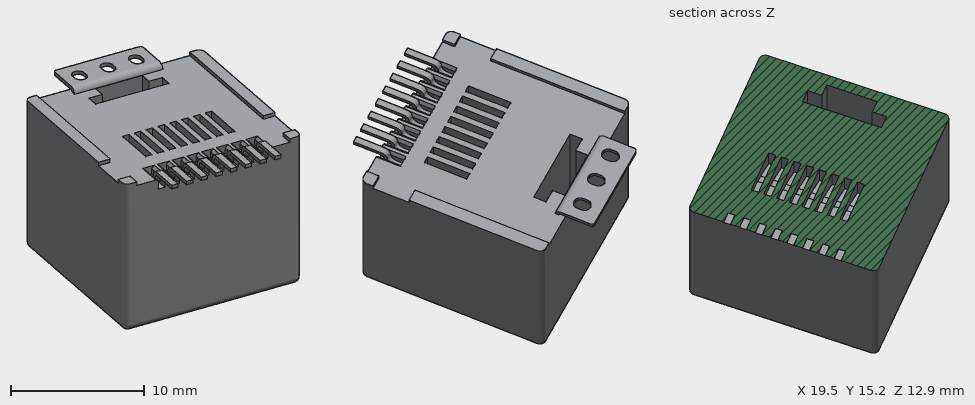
import cadquery as cq


BODY_X = 15.13
BODY_Y = 15.24
DECK_Z = 12.4
EDGE_RADIUS = 0.5
LEFT = -BODY_X / 2
RIGHT = BODY_X / 2

RAIL_RISE = 0.3
RAIL_WIDTH = 1.02
RAIL_LENGTH = 11.12
RAIL_TOP = DECK_Z + RAIL_RISE

METAL_TOP = 12.85
METAL_THICKNESS = 0.3

TAB_OVERHANG = 2.36
TAB_WIDTH = 7.62
TAB_BEND_RADIUS = 0.55
TAB_LEG_INSET = 0.85
TAB_CORNER = 0.25
TAB_HOLE_COUNT = 3
TAB_HOLE_PITCH = 2.45
TAB_HOLE_LENGTH = 1.36
TAB_HOLE_WIDTH = 1.0
TAB_HOLE_FROM_END = 1.57
LEG_EMBED = 0.3

STEM_CLEARANCE = 0.03
STEM_START = LEFT + TAB_LEG_INSET + STEM_CLEARANCE
STEM_WIDTH = 4.02
BAR_START = LEFT + 1.88
BAR_END = LEFT + 2.9
BAR_WIDTH = 6.32

CONTACT_COUNT = 8
SLOT_PITCH = 1.02
SLOT_WIDTH = 0.55
SLOT_START = LEFT + 8.14
SLOT_RAMP_END = LEFT + 9.79
SLOT_STEP = LEFT + 10.44
SLOT_END = LEFT + 11.65
SLOT_DEPTH = 1.6
SLOT_STEP_HEIGHT = 0.2
SLOT_RAMP_DROP = 0.65

PIN_PITCH = 1.27
PIN_WIDTH = 0.54
PIN_OVERHANG = 1.99
PIN_BEND_START = LEFT + 13.73
PIN_BEND_RADIUS = 0.57
GROOVE_START = LEFT + 13.12
GROOVE_CHAMFER = 0.23
PIN_FOOT_TOP = METAL_TOP - 2 * PIN_BEND_RADIUS
GROOVE_FLOOR = PIN_FOOT_TOP - METAL_THICKNESS / 2


def row(count, pitch):
    """Y positions of a row centred on Y = 0."""
    return [(i - (count - 1) / 2) * pitch for i in range(count)]


def box(x0, x1, y0, y1, z0, z1):
    """Block between two opposite corners."""
    return cq.Workplane("XY").box(x1 - x0, y1 - y0, z1 - z0, centered=False).translate((x0, y0, z0))


def extrude_along_y(profile, width, y_centre=0):
    """Extrude an XZ profile symmetrically about y_centre."""
    return profile.extrude(width / 2, both=True).translate((0, y_centre, 0))


def make_housing():
    """Rounded block cut down to the deck, leaving the rails and corner pads."""
    block = box(LEFT, RIGHT, -BODY_Y / 2, BODY_Y / 2, 0, RAIL_TOP)
    block = block.edges("|Z").fillet(EDGE_RADIUS).faces("<Z").edges().fillet(EDGE_RADIUS)
    inner_y = BODY_Y / 2 - RAIL_WIDTH
    between_rails = box(LEFT, RIGHT, -inner_y, inner_y, DECK_Z, RAIL_TOP)
    rail_end = LEFT + RAIL_LENGTH
    pad_start = RIGHT - RAIL_WIDTH
    rail_gap = box(rail_end, pad_start, -BODY_Y / 2, BODY_Y / 2, DECK_Z, RAIL_TOP)
    return block.cut(between_rails).cut(rail_gap)


def make_window():
    """T-shaped opening, with its stem toward -X."""
    stem = box(STEM_START, BAR_START, -STEM_WIDTH / 2, STEM_WIDTH / 2, 0, DECK_Z)
    bar = box(BAR_START, BAR_END, -BAR_WIDTH / 2, BAR_WIDTH / 2, 0, DECK_Z)
    return stem.union(bar)


def make_slot(y):
    """Contact slot whose floor is a ramp, a flat and a small step."""
    floor = DECK_Z - SLOT_DEPTH
    profile = (
        cq.Workplane("XZ")
        .moveTo(SLOT_START, DECK_Z)
        .lineTo(SLOT_START, floor - SLOT_RAMP_DROP)
        .lineTo(SLOT_RAMP_END, floor)
        .lineTo(SLOT_STEP, floor)
        .lineTo(SLOT_STEP, floor + SLOT_STEP_HEIGHT)
        .lineTo(SLOT_END, floor + SLOT_STEP_HEIGHT)
        .lineTo(SLOT_END, DECK_Z)
        .close()
    )
    return extrude_along_y(profile, SLOT_WIDTH, y)


def make_groove(y):
    """Pin-wide groove with chamfered top edges, open at the +X face."""
    half_floor = PIN_WIDTH / 2
    half_top = half_floor + GROOVE_CHAMFER
    chamfer_bottom = DECK_Z - GROOVE_CHAMFER
    return (
        cq.Workplane("YZ", origin=(GROOVE_START, 0, 0))
        .moveTo(y - half_top, DECK_Z)
        .lineTo(y - half_floor, chamfer_bottom)
        .lineTo(y - half_floor, GROOVE_FLOOR)
        .lineTo(y + half_floor, GROOVE_FLOOR)
        .lineTo(y + half_floor, chamfer_bottom)
        .lineTo(y + half_top, DECK_Z)
        .close()
        .extrude(RIGHT - GROOVE_START)
    )


def make_pin(y):
    """Pin with a foot half sunk in the groove floor, an S-bend and a level tail past the +X face."""
    radius = PIN_BEND_RADIUS
    inner = radius - METAL_THICKNESS
    outer = radius + METAL_THICKNESS
    middle_x = PIN_BEND_START + radius
    middle_z = PIN_FOOT_TOP + radius
    bend_end = middle_x + radius
    tip = RIGHT + PIN_OVERHANG
    foot_bottom = PIN_FOOT_TOP - METAL_THICKNESS
    profile = (
        cq.Workplane("XZ")
        .moveTo(GROOVE_START, PIN_FOOT_TOP)
        .lineTo(PIN_BEND_START, PIN_FOOT_TOP)
        .radiusArc((middle_x, middle_z), -radius)
        .radiusArc((bend_end, METAL_TOP), radius)
        .lineTo(tip, METAL_TOP)
        .lineTo(tip, METAL_TOP - METAL_THICKNESS)
        .lineTo(bend_end, METAL_TOP - METAL_THICKNESS)
        .radiusArc((bend_end - inner, middle_z), -inner)
        .radiusArc((PIN_BEND_START, foot_bottom), outer)
        .lineTo(GROOVE_START, foot_bottom)
        .close()
    )
    return extrude_along_y(profile, PIN_WIDTH, y)


def make_tab():
    """Level tab with three oblong holes and a bent leg set into the deck."""
    end = LEFT - TAB_OVERHANG
    leg_x = LEFT + TAB_LEG_INSET
    leg_bottom = DECK_Z - LEG_EMBED
    bend_x = leg_x - TAB_BEND_RADIUS
    bend_z = METAL_TOP - TAB_BEND_RADIUS
    inner = TAB_BEND_RADIUS - METAL_THICKNESS
    underside = METAL_TOP - METAL_THICKNESS
    profile = (
        cq.Workplane("XZ")
        .moveTo(end, METAL_TOP)
        .lineTo(bend_x, METAL_TOP)
        .radiusArc((leg_x, bend_z), TAB_BEND_RADIUS)
        .lineTo(leg_x, leg_bottom)
        .lineTo(leg_x - METAL_THICKNESS, leg_bottom)
        .lineTo(leg_x - METAL_THICKNESS, bend_z)
        .radiusArc((bend_x, underside), -inner)
        .lineTo(end, underside)
        .close()
    )
    tab = extrude_along_y(profile, TAB_WIDTH)
    tab = tab.faces("<X").edges("|Z").fillet(TAB_CORNER)
    hole_x = end + TAB_HOLE_FROM_END
    holes = (
        cq.Workplane("XY", origin=(0, 0, underside))
        .pushPoints([(hole_x, y) for y in row(TAB_HOLE_COUNT, TAB_HOLE_PITCH)])
        .slot2D(TAB_HOLE_LENGTH, TAB_HOLE_WIDTH)
        .extrude(METAL_THICKNESS)
    )
    return tab.cut(holes)


housing = make_housing().cut(make_window())
for slot_y in row(CONTACT_COUNT, SLOT_PITCH):
    housing = housing.cut(make_slot(slot_y))
for groove_y in row(CONTACT_COUNT, PIN_PITCH):
    housing = housing.cut(make_groove(groove_y))

result = housing.union(make_tab())
for pin_y in row(CONTACT_COUNT, PIN_PITCH):
    result = result.union(make_pin(pin_y))